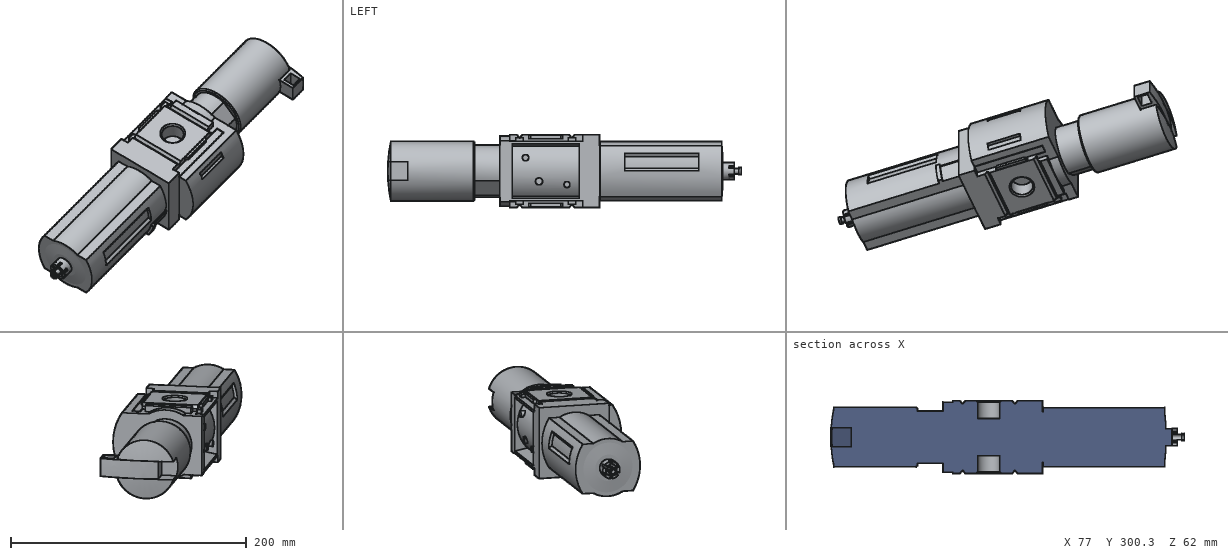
import cadquery as cq
import math


length = 300.3
valve_end = 6.0
valve_base = 15.5
bowl_bottom = 16.5
bowl_top = 119.8
body_bottom = 120.5
foot_top = 134.8
plate_top = 196.7
body_top = 205.0
knob_bottom = 226.5
port_y = 166.0

body_width = 62.0
half_width = body_width / 2
face_z = 25.8
strip_drop = 0.5
collar_radius = 30.0

plate_half_width = 24.0
bar_half_width = 19.8
groove_width = 4.5
groove_depth = 2.7
groove_centre = 22.2
port_diameter = 18.5
port_mouth_diameter = 21.3
port_depth = 15.0
tab_width = 2.5
tab_length = 28.8
tab_chamfer = 1.8
tab_height = 3.0
tab_drop = 0.5
lug_width = 3.5
lug_length = 6.5

window_bottom = 137.8
window_top = 194.3
window_half_height = 23.0
window_inner_half_height = 21.0
window_depth = 12.0
inner_radius = 28.8
peg_tip_x = -29.5
pegs = [
    (5.5, 183.2, 11.5),
    (6.0, 171.8, -8.7),
    (5.0, 148.0, -11.5),
]

cover_edge_x = 38.0
cover_tip_x = 46.0
cover_notch_inner_x = 40.5
cover_notch_floor_z = 16.0
cover_notch_bottom = 151.5
cover_notch_top = 180.8

bowl_half_height = 21.5
bowl_corner_x = 22.2
bowl_side_x = 28.5
lobe_radius = 25.2
base_ring_radius = 11.5
sight_bottom = 36.3
sight_top = 99.0
sight_z = 7.8
sight_outer_height = 16.5
sight_inner_height = 5.0
sight_depth = 2.7

latch_bottom = 103.0
latch_thickness = 1.0
latch_z_low = -bowl_half_height
latch_z_high = -7.0
latch_nib_thickness = 2.7
latch_nib_length = 3.5

valve_diameter = 15.0
valve_bore = 10.0
valve_bore_end = 10.5
valve_slot_width = 2.0
valve_slots = 6
stem_diameter = 5.0
stem_head_diameter = 6.3
stem_hole_diameter = 4.0
stem_hole_end = valve_bore_end
stem_head_length = 2.0

neck_radius = 22.2
neck_flat_distance = 20.5
knob_diameter = 51.0
knob_radius = knob_diameter / 2
knob_chamfer = 1.2
dome_rise = 2.7
slot_width = 15.5
slot_floor = 283.2
slider_length = 50.0
slider_end_x = 38.7
lock_hole_left = 27.3
lock_hole_right = 37.2
lock_hole_bottom = 286.0
lock_hole_top = 295.0


def box(x0, x1, y0, y1, z0, z1):
    return cq.Workplane("XY").box(x1 - x0, y1 - y0, z1 - z0, centered=False).translate((x0, y0, z0))


def cylinder(radius, y0, y1, x=0.0):
    """Cylinder along Y from y0 to y1."""
    return cq.Workplane("XZ", origin=(x, y0, 0)).circle(radius).extrude(y0 - y1)


def prism(points, y0, y1):
    """Polygon of (X, Z) points extruded along Y."""
    return cq.Workplane("XZ", origin=(0, y0, 0)).polyline(points).close().extrude(y0 - y1)


def arc_radius(half_chord, rise):
    return (half_chord**2 + rise**2) / (2 * rise)


def both_sides(shape, plane):
    return shape.union(shape.mirror(plane))


bowl_side_radius = arc_radius(bowl_half_height, bowl_side_x - bowl_corner_x)
bowl_side_centre = bowl_side_x - bowl_side_radius
dome_radius = arc_radius(knob_radius, dome_rise)


def domed_cylinder(radius, y0, x=0.0):
    """Cylinder along Y from y0 to the end of the unit, where it has a spherical dome."""
    edge_y = length - dome_radius + math.sqrt(dome_radius**2 - radius**2)
    mid_y = length - dome_radius + math.sqrt(dome_radius**2 - (radius / 2) ** 2)
    return (
        cq.Workplane("XY", origin=(x, 0, 0))
        .moveTo(0, y0)
        .lineTo(radius, y0)
        .lineTo(radius, edge_y)
        .threePointArc((radius / 2, mid_y), (0, length))
        .close()
        .revolve(360, (0, 0, 0), (0, 1, 0))
    )


def make_block():
    strip_z = face_z - strip_drop
    strips = box(-half_width, half_width, foot_top, plate_top, -strip_z, strip_z)
    foot = box(-half_width, half_width, body_bottom, foot_top, -half_width, half_width)
    head = box(-half_width, half_width, plate_top, body_top, -face_z, face_z)
    collar = cylinder(collar_radius, plate_top, body_top)
    return strips.union(foot).union(head).union(collar)


def make_port_plate():
    """Raised plate on +Z with two V grooves, side tabs and small lugs at the groove ends."""
    strip_z = face_z - strip_drop
    plate = box(-plate_half_width, plate_half_width, foot_top, plate_top, strip_z, half_width)

    groove_floor = half_width - groove_depth
    for side in (-1, 1):
        groove_y = port_y + side * groove_centre
        groove = (
            cq.Workplane("YZ", origin=(-plate_half_width, 0, 0))
            .moveTo(groove_y - groove_width / 2, half_width)
            .lineTo(groove_y, groove_floor)
            .lineTo(groove_y + groove_width / 2, half_width)
            .close()
            .extrude(2 * plate_half_width)
        )
        plate = plate.cut(groove)
        lug = box(-plate_half_width - lug_width, -plate_half_width,
                  groove_y - lug_length / 2, groove_y + lug_length / 2, strip_z, groove_floor)
        plate = plate.union(lug)

        end_x = sorted((side * bar_half_width, side * plate_half_width))
        plate = plate.cut(box(*end_x, port_y + groove_centre, plate_top, face_z, half_width))

    tab_z = half_width - tab_drop - tab_height
    tab = (
        cq.Workplane("XY", origin=(0, 0, tab_z))
        .moveTo(plate_half_width, port_y - tab_length / 2)
        .lineTo(plate_half_width + tab_width, port_y - tab_length / 2 + tab_chamfer)
        .lineTo(plate_half_width + tab_width, port_y + tab_length / 2 - tab_chamfer)
        .lineTo(plate_half_width, port_y + tab_length / 2)
        .close()
        .extrude(tab_height)
    )
    return plate.union(both_sides(tab, "YZ"))


def make_port():
    """Blind port with a countersunk mouth, on the +Z side."""
    mouth_depth = (port_mouth_diameter - port_diameter) / 2
    floor_z = half_width - port_depth
    return (
        cq.Workplane("XZ", origin=(0, port_y, 0))
        .moveTo(0, floor_z)
        .lineTo(port_diameter / 2, floor_z)
        .lineTo(port_diameter / 2, half_width - mouth_depth)
        .lineTo(port_mouth_diameter / 2, half_width)
        .lineTo(0, half_width)
        .close()
        .revolve(360, (0, 0, 0), (0, 1, 0))
    )


def make_window():
    """Tapered opening in the -X face that leaves the inner cylinder and its pegs standing."""
    inner_x = -half_width + window_depth
    window = prism(
        [
            (-half_width, -window_half_height),
            (-half_width, window_half_height),
            (inner_x, window_inner_half_height),
            (inner_x, -window_inner_half_height),
        ],
        window_bottom,
        window_top,
    )
    window = window.cut(cylinder(inner_radius, window_bottom, window_top))
    for diameter, y, z in pegs:
        peg = cq.Workplane("YZ", origin=(peg_tip_x, y, z)).circle(diameter / 2).extrude(-peg_tip_x)
        window = window.cut(peg)
    return window


def make_cover():
    cover = (
        cq.Workplane("XZ", origin=(0, foot_top, 0))
        .moveTo(half_width, -face_z)
        .lineTo(cover_edge_x, -face_z)
        .threePointArc((cover_tip_x, 0), (cover_edge_x, face_z))
        .lineTo(half_width, face_z)
        .close()
        .extrude(foot_top - body_top)
    )
    notch = box(cover_notch_inner_x, cover_tip_x, cover_notch_bottom, cover_notch_top,
                cover_notch_floor_z, face_z)
    return cover.cut(both_sides(notch, "XY"))


def make_bowl():
    shell = (
        cq.Workplane("XZ", origin=(0, bowl_bottom, 0))
        .moveTo(-bowl_corner_x, -bowl_half_height)
        .lineTo(bowl_corner_x, -bowl_half_height)
        .threePointArc((bowl_side_x, 0), (bowl_corner_x, bowl_half_height))
        .lineTo(-bowl_corner_x, bowl_half_height)
        .threePointArc((-bowl_side_x, 0), (-bowl_corner_x, -bowl_half_height))
        .close()
        .extrude(bowl_bottom - bowl_top)
    )
    lobes = cylinder(lobe_radius, bowl_bottom, bowl_top)
    spigot = cylinder(bowl_half_height, bowl_top, body_bottom)
    base_cone = (
        cq.Workplane("XY")
        .moveTo(0, bowl_bottom)
        .lineTo(bowl_half_height, bowl_bottom)
        .lineTo(base_ring_radius, valve_base)
        .lineTo(0, valve_base)
        .close()
        .revolve(360, (0, 0, 0), (0, 1, 0))
    )
    return shell.union(lobes).union(spigot).union(base_cone).cut(both_sides(make_sight_recess(), "YZ"))


def make_sight_recess():
    """Tapered recess in the +X side of the bowl with a floor parallel to that side."""
    inner_x = bowl_side_x - 2 * sight_depth
    recess = prism(
        [
            (bowl_side_x, -sight_outer_height / 2),
            (bowl_side_x, sight_outer_height / 2),
            (inner_x, sight_inner_height / 2),
            (inner_x, -sight_inner_height / 2),
        ],
        sight_bottom,
        sight_top,
    )
    floor = cylinder(bowl_side_radius - sight_depth, sight_bottom, sight_top, bowl_side_centre)
    tilt = math.degrees(math.asin(sight_z / bowl_side_radius))
    return recess.cut(floor).rotate((bowl_side_centre, 0, 0), (bowl_side_centre, 1, 0), -tilt)


def make_latch():
    """Thin plate along the +X side of the bowl, ending in a raised nib."""

    def layer(thickness, y0, y1):
        shape = cylinder(bowl_side_radius + thickness, y0, y1, bowl_side_centre)
        return shape.intersect(box(0, half_width, y0, y1, latch_z_low, latch_z_high))

    nib_bottom = latch_bottom - latch_nib_length
    return layer(latch_thickness, nib_bottom, body_bottom).union(
        layer(latch_nib_thickness, nib_bottom, latch_bottom)
    )


def make_drain_valve():
    """Slotted sleeve around a headed stem with a drain hole."""
    sleeve = cylinder(valve_diameter / 2, valve_end, bowl_bottom)
    sleeve = sleeve.cut(cylinder(valve_bore / 2, valve_end, valve_bore_end))
    for i in range(valve_slots):
        slot = box(-valve_slot_width / 2, valve_slot_width / 2, valve_end, valve_bore_end,
                   0, valve_diameter)
        sleeve = sleeve.cut(slot.rotate((0, 0, 0), (0, 1, 0), i * 360 / valve_slots))
    stem = cylinder(stem_diameter / 2, 0, bowl_bottom)
    head = cylinder(stem_head_diameter / 2, 0, stem_head_length)
    hole = cylinder(stem_hole_diameter / 2, 0, stem_hole_end)
    return sleeve.union(stem).union(head).cut(hole)


def make_neck():
    """Neck with two opposite flats turned 45 degrees."""
    flats = box(-knob_radius, knob_radius, body_top, knob_bottom,
                -neck_flat_distance, neck_flat_distance)
    flats = flats.rotate((0, 0, 0), (0, 1, 0), 45)
    return cylinder(neck_radius, body_top, knob_bottom).intersect(flats)


def make_knob():
    """Domed knob with a slot across its end for the lock slider."""
    knob = domed_cylinder(knob_radius, knob_bottom).faces("<Y").chamfer(knob_chamfer)
    slot = box(-knob_radius, knob_radius, slot_floor, length, -slot_width / 2, slot_width / 2)
    return knob.cut(slot)


def make_regulator():
    regulator = make_block().union(both_sides(make_port_plate(), "XY"))
    regulator = regulator.cut(both_sides(make_port(), "XY")).cut(make_window())
    for feature in (make_cover(), make_bowl(), make_latch(), make_drain_valve(), make_neck(), make_knob()):
        regulator = regulator.union(feature)
    return regulator


def make_lock_slider():
    """Bar in the knob slot, pulled out towards +X, with a hole for a padlock."""
    slider_start_x = slider_end_x - slider_length
    half_slot = slot_width / 2
    bar = box(slider_start_x, slider_end_x, slot_floor, length, -half_slot, half_slot)
    bar = bar.intersect(domed_cylinder(slider_length, knob_bottom, (slider_start_x + slider_end_x) / 2))
    hole = box(lock_hole_left, lock_hole_right, lock_hole_bottom, lock_hole_top, -half_slot, half_slot)
    return bar.cut(hole)


regulator = make_regulator()
lock_slider = make_lock_slider()
result = cq.Compound.makeCompound([regulator.val(), lock_slider.val()])